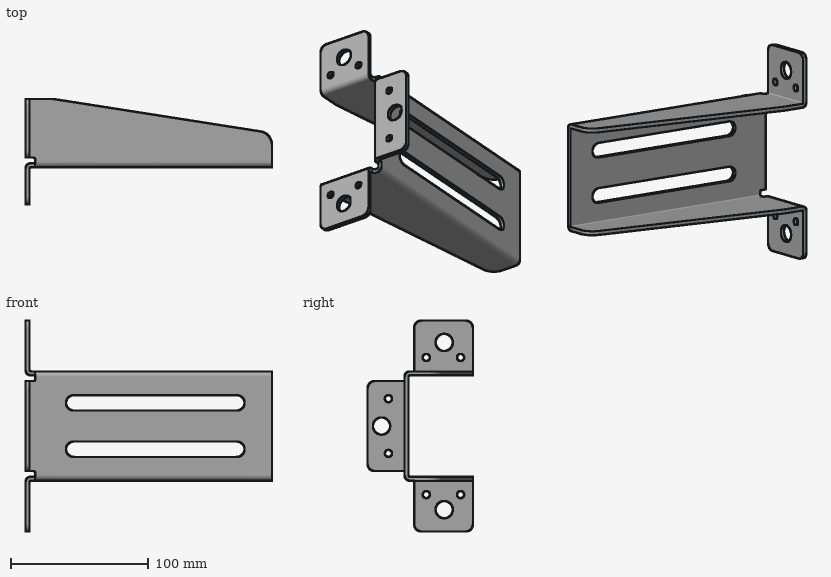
import cadquery as cq
import math


thickness = 3.0
inner_bend = 0.9
outer_bend = inner_bend + thickness

length = 180.0
channel_height = 80.0
flange_depth = 50.0
half_height = channel_height / 2

taper_start = 20.0
taper_angle = 8.9
taper_start_radius = 36.0
flange_end_radius = 10.0

relief_size = 7.0
relief_radius = 1.0

slot_width = 11.0
slot_start = 29.7
slot_end = 159.8
slot_spacing = 33.8

overall_height = 154.0
web_tab_drop = 27.0
tab_corner_radius = 5.4
large_hole = 12.5
small_hole = 5.0

flange_tab_large_y = 29.0
flange_tab_small_y = 28.5
flange_tab_large_z = 61.0
flange_tab_small_z = 50.0
flange_tab_small_spacing = 25.0

web_tab_large_y = -16.7
web_tab_small_y = -11.7
web_tab_small_spacing = 40.0


def rounded_block(inset, radius):
    """Block along X, inset from the channel's outer faces, with its two web-side edges rounded."""
    return (
        cq.Workplane("XY", origin=(outer_bend, inset, 0))
        .box(length - outer_bend, flange_depth, channel_height - 2 * inset, centered=(False, False, True))
        .edges("|X and <Y")
        .fillet(radius)
    )


def make_channel():
    """U-section along X with rounded bends, starting where the tab bends end."""
    return rounded_block(0, outer_bend).cut(rounded_block(thickness, inner_bend))


def make_side_outline():
    """Block with the tapered side shape of the flanges."""
    end_depth = flange_depth - (length - taper_start) * math.tan(math.radians(taper_angle))
    outline = [(0, 0), (length, 0), (length, end_depth), (taper_start, flange_depth), (0, flange_depth)]
    return (
        cq.Workplane("XY", origin=(0, 0, -half_height))
        .polyline(outline)
        .close()
        .extrude(channel_height)
        .edges(cq.selectors.NearestToPointSelector((length, end_depth, 0)))
        .fillet(flange_end_radius)
        .edges(cq.selectors.NearestToPointSelector((taper_start, flange_depth, 0)))
        .fillet(taper_start_radius)
    )


def make_relief():
    """Rounded block removed from the upper bend at the tab end."""
    return (
        cq.Workplane("XY", origin=(0, 0, half_height - relief_size))
        .box(relief_size, relief_size, relief_size, centered=False)
        .edges("(|Z and >X and >Y) or (|Y and >X and <Z)")
        .fillet(relief_radius)
    )


def bent_tab(plane, sheet_face, tip, start_edge, width):
    """Tab bent outward from a sheet; sheet_face is the sheet side that becomes the bend's outside."""
    out = math.copysign(1, tip)
    diagonal = math.sqrt(0.5)
    bend_center = sheet_face + out * outer_bend
    outer_mid = (outer_bend * (1 - diagonal), bend_center - out * outer_bend * diagonal)
    inner_mid = (outer_bend - inner_bend * diagonal, bend_center - out * inner_bend * diagonal)
    return (
        cq.Workplane(plane)
        .workplane(offset=start_edge)
        .moveTo(outer_bend, sheet_face)
        .threePointArc(outer_mid, (0, bend_center))
        .lineTo(0, tip)
        .lineTo(thickness, tip)
        .lineTo(thickness, bend_center)
        .threePointArc(inner_mid, (outer_bend, sheet_face + out * thickness))
        .close()
        .extrude(width)
    )


def drill(body, diameter, points):
    """Through holes along X at the given (Y, Z) points."""
    return body.cut(cq.Workplane("YZ").pushPoints(points).circle(diameter / 2).extrude(outer_bend))


def make_flange_tab():
    """Upper tab, bent up from the upper flange."""
    inner_face = half_height - thickness
    width = flange_depth - relief_size
    tab = bent_tab("XZ", inner_face, overall_height / 2, -flange_depth, width)
    tab = tab.edges("|X and >Z").fillet(tab_corner_radius)
    half_spacing = flange_tab_small_spacing / 2
    small_points = [(flange_tab_small_y + side * half_spacing, flange_tab_small_z) for side in (-1, 1)]
    tab = drill(tab, large_hole, [(flange_tab_large_y, flange_tab_large_z)])
    return drill(tab, small_hole, small_points)


def make_web_tab():
    """Middle tab, bent toward -Y from the web."""
    half_width = half_height - relief_size
    tab = bent_tab("XY", thickness, -web_tab_drop, -half_width, 2 * half_width)
    tab = tab.edges("|X and <Y").fillet(tab_corner_radius)
    small_points = [(web_tab_small_y, side * web_tab_small_spacing / 2) for side in (-1, 1)]
    tab = drill(tab, large_hole, [(web_tab_large_y, 0)])
    return drill(tab, small_hole, small_points)


def make_slots():
    """Two long slots through the web."""
    return (
        cq.Workplane("XZ", origin=((slot_start + slot_end) / 2, 0, 0))
        .pushPoints([(0, -slot_spacing / 2), (0, slot_spacing / 2)])
        .slot2D(slot_end - slot_start, slot_width)
        .extrude(-thickness)
    )


relief = make_relief()
flange_tab = make_flange_tab()

channel = make_channel().intersect(make_side_outline()).cut(make_slots())
channel = channel.cut(relief).cut(relief.mirror("XY"))

result = channel.union(make_web_tab()).union(flange_tab).union(flange_tab.mirror("XY"))